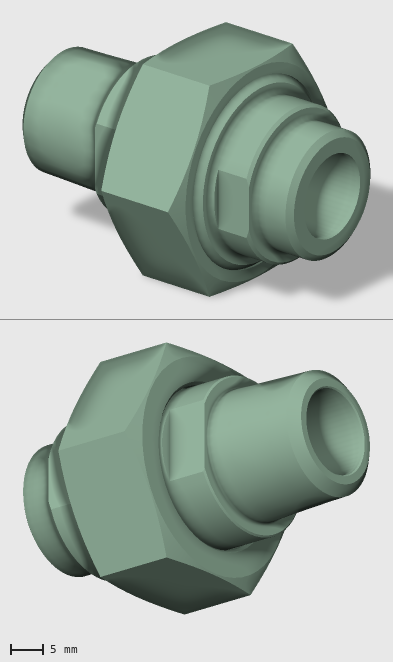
import cadquery as cq
import math


length = 55.0
bore_diameter = 14.0
body_diameter = 26.0

nut_start = 24.4
nut_end = 39.95
nut_across_flats = 36.0
nut_face_diameter = 35.55
nut_corner_depth = 1.1
nut_mouth_diameter = 26.5
nut_mouth_chamfer = 0.5
nut_lip = 2.75
nut_thread_diameter = 31.85

tip_diameter = 17.05
tip_chamfer_length = 1.55
taper_small_diameter = 20.45
taper_large_diameter = 21.5
taper_end = 16.6
taper_fillet = 0.35
taper_body_chamfer = 0.3
bore_chamfer = 0.2
taper_flats_end = 23.85
taper_across_flats = 23.1
taper_flats_end_lean = 0.45
collar_diameter = 30.35
collar_length = 2.75

thread_chamfer_start = 39.5
thread_end = 41.0
thread_end_diameter = 29.5
body_fillet = 0.75
body_end = 47.95
body_end_chamfer = 0.5
straight_flats_start = 41.85
straight_across_flats = 24.0
spigot_diameter = 21.3
spigot_fillet = 0.75
spigot_chamfer_length = 0.8
spigot_chamfer_depth = 1.1

collar_start = nut_start + nut_lip
joint = collar_start + collar_length
bore_radius = bore_diameter / 2
body_radius = body_diameter / 2
thread_radius = nut_thread_diameter / 2
taper_body_start = taper_end + taper_fillet


def revolve_about_x(profile):
    """Turn a closed (x, radius) profile around the X axis."""
    return profile.close().revolve(360, (0, 0, 0), (1, 0, 0))


def concave_fillet_midpoint(center_x, center_radius, fillet, x_side, radius_side):
    """Middle point of a quarter arc, on the given side of its centre."""
    offset = fillet * math.sqrt(0.5)
    return (center_x + x_side * offset, center_radius + radius_side * offset)


def cut_wrench_flats(body, start, end, across_flats, end_lean=0):
    """Cut two flats, square to Y; the far wall may lean outward along X by end_lean."""
    flat_y = across_flats / 2
    for side in (-1, 1):
        cutter = (
            cq.Workplane("XY")
            .moveTo(start, side * flat_y)
            .lineTo(end, side * flat_y)
            .lineTo(end + end_lean, side * body_radius)
            .lineTo(start, side * body_radius)
            .close()
            .extrude(body_radius, both=True)
        )
        body = body.cut(cutter)
    return body


def make_nut():
    corner_diameter = nut_across_flats / math.cos(math.pi / 6)
    corner_radius = corner_diameter / 2
    hexagon = (
        cq.Workplane("YZ")
        .workplane(offset=nut_start)
        .polygon(6, corner_diameter)
        .extrude(nut_end - nut_start)
    )
    chamfer_envelope = revolve_about_x(
        cq.Workplane("XY")
        .moveTo(nut_start, 0)
        .lineTo(nut_start, nut_face_diameter / 2)
        .lineTo(nut_start + nut_corner_depth, corner_radius)
        .lineTo(nut_end - nut_corner_depth, corner_radius)
        .lineTo(nut_end, nut_face_diameter / 2)
        .lineTo(nut_end, 0)
    )
    mouth_radius = nut_mouth_diameter / 2
    cavity = revolve_about_x(
        cq.Workplane("XY")
        .moveTo(nut_start, 0)
        .lineTo(nut_start, mouth_radius + nut_mouth_chamfer)
        .lineTo(nut_start + nut_mouth_chamfer, mouth_radius)
        .lineTo(collar_start, mouth_radius)
        .lineTo(collar_start, thread_radius)
        .lineTo(nut_end, thread_radius)
        .lineTo(nut_end, 0)
    )
    return hexagon.intersect(chamfer_envelope).cut(cavity)


def make_taper_tail():
    taper_radius = taper_large_diameter / 2
    tail = revolve_about_x(
        cq.Workplane("XY")
        .moveTo(bore_chamfer, bore_radius)
        .lineTo(0, bore_radius + bore_chamfer)
        .lineTo(0, tip_diameter / 2)
        .lineTo(tip_chamfer_length, taper_small_diameter / 2)
        .lineTo(taper_end, taper_radius)
        .threePointArc(
            concave_fillet_midpoint(taper_end, taper_radius + taper_fillet, taper_fillet, 1, -1),
            (taper_body_start, taper_radius + taper_fillet),
        )
        .lineTo(taper_body_start, body_radius - taper_body_chamfer)
        .lineTo(taper_body_start + taper_body_chamfer, body_radius)
        .lineTo(collar_start, body_radius)
        .lineTo(collar_start, collar_diameter / 2)
        .lineTo(joint, collar_diameter / 2)
        .lineTo(joint, bore_radius)
    )
    return cut_wrench_flats(
        tail, taper_body_start, taper_flats_end, taper_across_flats, taper_flats_end_lean
    )


def make_straight_tail():
    spigot_radius = spigot_diameter / 2
    tail = revolve_about_x(
        cq.Workplane("XY")
        .moveTo(joint, bore_radius)
        .lineTo(joint, thread_radius)
        .lineTo(thread_chamfer_start, thread_radius)
        .lineTo(thread_end, thread_end_diameter / 2)
        .lineTo(thread_end, body_radius + body_fillet)
        .threePointArc(
            concave_fillet_midpoint(
                thread_end + body_fillet, body_radius + body_fillet, body_fillet, -1, -1
            ),
            (thread_end + body_fillet, body_radius),
        )
        .lineTo(body_end - body_end_chamfer, body_radius)
        .lineTo(body_end, body_radius - body_end_chamfer)
        .lineTo(body_end, spigot_radius + spigot_fillet)
        .threePointArc(
            concave_fillet_midpoint(
                body_end + spigot_fillet, spigot_radius + spigot_fillet, spigot_fillet, -1, -1
            ),
            (body_end + spigot_fillet, spigot_radius),
        )
        .lineTo(length - spigot_chamfer_length, spigot_radius)
        .lineTo(length, spigot_radius - spigot_chamfer_depth)
        .lineTo(length, bore_radius)
    )
    return cut_wrench_flats(tail, straight_flats_start, body_end, straight_across_flats)


nut = make_nut()
taper_tail = make_taper_tail()
straight_tail = make_straight_tail()

result = cq.Compound.makeCompound([nut.val(), taper_tail.val(), straight_tail.val()])